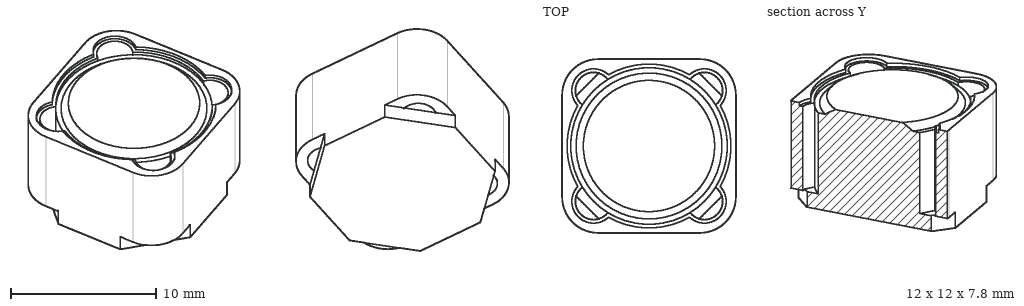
import cadquery as cq
import math

width = 12.0
height = 7.8
base_height = 1.2
corner_radius = 2.5

core_radius = 5.4
foot_radius = 5.03
top_radius = 4.53
channel_depth = 0.5

well_radius = 1.25
well_offset = 3.82

step_width = 0.25
step_depth = 0.25

channel_level = height - channel_depth
step_level = height - step_depth
well_centres = [(sx * well_offset, sy * well_offset) for sx in (-1, 1) for sy in (-1, 1)]


def cylinder(radius, bottom, top, centres=((0, 0),)):
    """Upright cylinders between two levels, one at each centre."""
    return cq.Workplane("XY", origin=(0, 0, bottom)).pushPoints(centres).circle(radius).extrude(top - bottom)


def make_housing():
    """Regular octagonal base with the rounded square block on top of it."""
    corner_cut = width / (2 + math.sqrt(2))
    base = cq.Workplane("XY").rect(width, width).extrude(base_height)
    base = base.edges("|Z").chamfer(corner_cut)
    block = cq.Workplane("XY", origin=(0, 0, base_height)).rect(width, width).extrude(height - base_height)
    return base.union(block.edges("|Z").fillet(corner_radius))


def make_top_recess():
    """Clover-shaped step and the deeper channel round the core's truncated cone."""
    step = cylinder(core_radius + step_width, step_level, height)
    step = step.union(cylinder(well_radius + step_width, step_level, height, well_centres))
    channel = cylinder(core_radius, channel_level, height)
    cone = cq.Solid.makeCone(foot_radius, top_radius, channel_depth, pnt=cq.Vector(0, 0, channel_level))
    return step.union(channel).cut(cq.Workplane(cone))


def make_wells():
    """Corner wells, each cut off on its inner side by the core."""
    wells = cylinder(well_radius, base_height, height, well_centres)
    return wells.cut(cylinder(core_radius, base_height, height))


result = make_housing().cut(make_top_recess()).cut(make_wells())